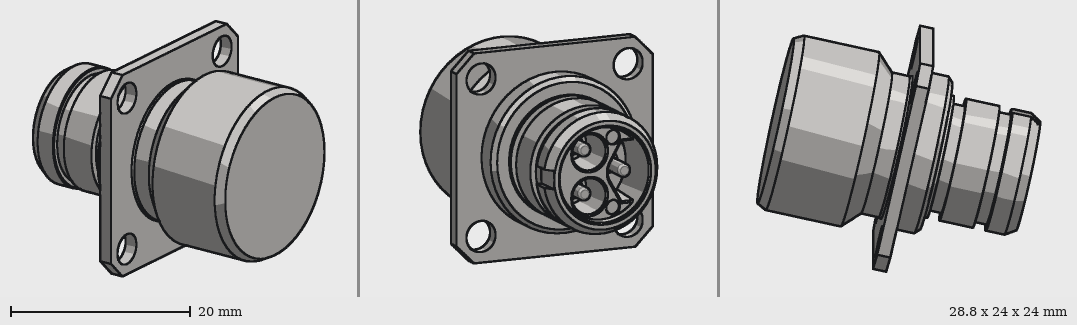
import cadquery as cq
import math

LENGTH = 28.8
NOSE_TIP_RADIUS = 6.2
NOSE_RADIUS = 6.95
NOSE_CHAMFER_END = 1.2
GROOVE_START = 3.4
GROOVE_RADIUS = 6.28
GROOVE_END = 4.8
GROOVE_EDGE_CHAMFER = 0.1
LAND_END = 8.6
RELIEF_RADIUS = 6.1
COLLAR_START = 10.0
COLLAR_RADIUS = 6.95
SHOULDER_START = 10.5
SHOULDER_RADIUS = 8.95
SHOULDER_CHAMFER = 0.55
FLANGE_START = 13.5
FLANGE_THICKNESS = 1.5
FLANGE_END = FLANGE_START + FLANGE_THICKNESS
NECK_RADIUS = 8.05
NECK_ROOT_CHAMFER = 0.1
NECK_ROOT_LENGTH = 0.3
NECK_END = 17.3
BACKSHELL_RADIUS = 9.95
BACKSHELL_START = 19.2
REAR_CHAMFER_LENGTH = 1.05
REAR_CHAMFER_DEPTH = 0.55

FLANGE_SIDE = 24.0
FLANGE_CORNER_CUT = 2.15
MOUNTING_HOLE_DIAMETER = 3.55
MOUNTING_HOLE_SPACING = 18.0

KEYWAY_WIDTH = 2.1
KEYWAY_FLOOR = 6.2

BORE_RADIUS = 5.45
BORE_MOUTH_CHAMFER = 0.2
FACE_DEPTH = 0.95
INSERT_RADIUS = 5.25
INSERT_GAP_EXTRA_DEPTH = 0.5

CONTACT_CIRCLE_RADIUS = 2.9
CAVITY_MOUTH_RADIUS = 2.25
CAVITY_LEAD_IN = 0.2
CAVITY_DRAFT = 0.2
CAVITY_DEPTH = 5.0
CAVITY_FLOOR = FACE_DEPTH + CAVITY_DEPTH
POWER_ANGLES = (60, -60)
EARTH_ANGLE = 180
EARTH_POCKET_HALF_WIDTH = 3.65
EARTH_POCKET_SLANT = 30

POWER_PIN_TIP = 2.2
EARTH_PIN_TIP = 1.1
PIN_TIP_RADIUS = 0.5
PIN_RADIUS = 0.77
PIN_TIP_FILLET = PIN_RADIUS - PIN_TIP_RADIUS
PIN_FLARE_LENGTH = 1.0
POWER_PIN_BASE_RADIUS = 1.15
EARTH_PIN_BASE_RADIUS = 1.35
POWER_PIN_CLEARANCE_RADIUS = 1.35
POWER_PIN_CLEARANCE_DEPTH = 0.5

LABEL_RADIUS = 0.83
LABEL_DEPTH = 0.25
POWER_LABEL_Y = -1.42
POWER_LABEL_Z = 4.0
EARTH_LABEL_Y = -3.36
EARTH_LABEL_Z = 2.43


def plane_at(x, y=0.0, z=0.0):
    """YZ work plane at station x, with its normal along +X."""
    return cq.Workplane("YZ", origin=(x, y, z))


def cylinder(x_start, x_end, radius, y=0.0, z=0.0):
    return plane_at(x_start, y, z).circle(radius).extrude(x_end - x_start)


def revolve_profile(profile, y=0.0, z=0.0):
    """Turn a closed (x, radius) outline about an axis along X through (y, z)."""
    outline = cq.Workplane("XY", origin=(0, y, z)).polyline(profile).close()
    return outline.revolve(360, (0, 0, 0), (1, 0, 0))


def contact_position(angle):
    """Y and Z of a contact, the angle being measured from +Y towards +Z."""
    turn = math.radians(angle)
    return CONTACT_CIRCLE_RADIUS * math.cos(turn), CONTACT_CIRCLE_RADIUS * math.sin(turn)


def make_shell():
    profile = [
        (0, 0),
        (0, NOSE_TIP_RADIUS),
        (NOSE_CHAMFER_END, NOSE_RADIUS),
        (GROOVE_START - GROOVE_EDGE_CHAMFER, NOSE_RADIUS),
        (GROOVE_START, NOSE_RADIUS - GROOVE_EDGE_CHAMFER),
        (GROOVE_START, GROOVE_RADIUS),
        (GROOVE_END, GROOVE_RADIUS),
        (GROOVE_END, NOSE_RADIUS),
        (LAND_END, NOSE_RADIUS),
        (LAND_END, RELIEF_RADIUS),
        (COLLAR_START, RELIEF_RADIUS),
        (COLLAR_START, COLLAR_RADIUS),
        (SHOULDER_START, COLLAR_RADIUS),
        (SHOULDER_START, SHOULDER_RADIUS - SHOULDER_CHAMFER),
        (SHOULDER_START + SHOULDER_CHAMFER, SHOULDER_RADIUS),
        (FLANGE_END, SHOULDER_RADIUS),
        (FLANGE_END, NECK_RADIUS + NECK_ROOT_CHAMFER),
        (FLANGE_END + NECK_ROOT_LENGTH, NECK_RADIUS),
        (NECK_END, NECK_RADIUS),
        (BACKSHELL_START, BACKSHELL_RADIUS),
        (LENGTH - REAR_CHAMFER_LENGTH, BACKSHELL_RADIUS),
        (LENGTH, BACKSHELL_RADIUS - REAR_CHAMFER_DEPTH),
        (LENGTH, 0),
    ]
    return revolve_profile(profile)


def make_flange():
    plate = plane_at(FLANGE_START).rect(FLANGE_SIDE, FLANGE_SIDE).extrude(FLANGE_THICKNESS)
    plate = plate.edges("|X").chamfer(FLANGE_CORNER_CUT)
    spacing = MOUNTING_HOLE_SPACING
    corners = plate.faces("<X").workplane(origin=(FLANGE_START, 0, 0))
    return corners.rect(spacing, spacing, forConstruction=True).vertices().hole(MOUNTING_HOLE_DIAMETER)


def make_keyway():
    """Flat-bottomed slot through the front land, open outwards and into the groove behind it."""
    slot_height = NOSE_RADIUS - KEYWAY_FLOOR
    slot = cq.Workplane("XY").box(GROOVE_START, slot_height, KEYWAY_WIDTH, centered=(False, False, True))
    return slot.translate((0, KEYWAY_FLOOR, 0))


def make_bore():
    """Open bore, its mouth chamfer and the narrow gap, with a sloping bottom, around the insert."""
    mouth_radius = BORE_RADIUS + BORE_MOUTH_CHAMFER
    gap_bottom = CAVITY_FLOOR + INSERT_GAP_EXTRA_DEPTH
    gap_width = BORE_RADIUS - INSERT_RADIUS
    return revolve_profile([
        (0, 0),
        (0, mouth_radius),
        (BORE_MOUTH_CHAMFER, BORE_RADIUS),
        (gap_bottom, BORE_RADIUS),
        (gap_bottom - gap_width, INSERT_RADIUS),
        (FACE_DEPTH, INSERT_RADIUS),
        (FACE_DEPTH, 0),
    ])


def power_cavity(y, z):
    throat_radius = CAVITY_MOUTH_RADIUS - CAVITY_LEAD_IN
    return revolve_profile([
        (FACE_DEPTH, 0),
        (FACE_DEPTH, CAVITY_MOUTH_RADIUS),
        (FACE_DEPTH + CAVITY_LEAD_IN, throat_radius),
        (CAVITY_FLOOR, throat_radius - CAVITY_DRAFT),
        (CAVITY_FLOOR, 0),
    ], y, z)


def earth_outline(x, inset):
    """Earth pocket outline: an arc about the earth pin, two tangent slants and two straight sides."""
    pin_y, pin_z = contact_position(EARTH_ANGLE)
    radius = CAVITY_MOUTH_RADIUS - inset
    half_width = EARTH_POCKET_HALF_WIDTH - inset
    slant = math.radians(EARTH_POCKET_SLANT)
    tangent_y = radius * math.cos(slant)
    tangent_z = radius * math.sin(slant)
    corner_y = (radius - half_width * math.sin(slant)) / math.cos(slant)
    outer_y = -BORE_RADIUS - pin_y
    return (
        plane_at(x, pin_y, pin_z)
        .moveTo(outer_y, -half_width)
        .lineTo(corner_y, -half_width)
        .lineTo(tangent_y, -tangent_z)
        .threePointArc((radius, 0), (tangent_y, tangent_z))
        .lineTo(corner_y, half_width)
        .lineTo(outer_y, half_width)
        .close()
    )


def earth_loft(x_start, inset_start, x_end, inset_end):
    start = earth_outline(x_start, inset_start).wire().val()
    end = earth_outline(x_end, inset_end).wire().val()
    return cq.Workplane(cq.Solid.makeLoft([start, end], True))


def earth_cavity():
    throat = FACE_DEPTH + CAVITY_LEAD_IN
    lead_in = earth_loft(FACE_DEPTH, 0, throat, CAVITY_LEAD_IN)
    draft = earth_loft(throat, CAVITY_LEAD_IN, CAVITY_FLOOR, CAVITY_LEAD_IN + CAVITY_DRAFT)
    return lead_in.union(draft).intersect(cylinder(0, CAVITY_FLOOR, BORE_RADIUS))


def make_contact_pin(y, z, tip_x, base_x, base_radius):
    pin = revolve_profile([
        (tip_x, 0),
        (tip_x, PIN_RADIUS),
        (base_x - PIN_FLARE_LENGTH, PIN_RADIUS),
        (base_x, base_radius),
        (base_x, 0),
    ], y, z)
    return pin.faces("<X").edges().fillet(PIN_TIP_FILLET)


def label_recess(x, y, z):
    return cylinder(x, x + LABEL_DEPTH, LABEL_RADIUS, y, z)


def make_connector():
    body = make_shell().union(make_flange())
    body = body.cut(make_keyway()).cut(make_bore()).cut(earth_cavity())
    power_base = CAVITY_FLOOR + POWER_PIN_CLEARANCE_DEPTH
    for angle in POWER_ANGLES:
        y, z = contact_position(angle)
        body = body.cut(power_cavity(y, z))
        body = body.cut(cylinder(CAVITY_FLOOR, power_base, POWER_PIN_CLEARANCE_RADIUS, y, z))
        body = body.union(make_contact_pin(y, z, POWER_PIN_TIP, power_base, POWER_PIN_BASE_RADIUS))
    for label_z in (POWER_LABEL_Z, -POWER_LABEL_Z):
        body = body.cut(label_recess(FACE_DEPTH, POWER_LABEL_Y, label_z))
    body = body.cut(label_recess(CAVITY_FLOOR, EARTH_LABEL_Y, EARTH_LABEL_Z))
    y, z = contact_position(EARTH_ANGLE)
    return body.union(make_contact_pin(y, z, EARTH_PIN_TIP, CAVITY_FLOOR, EARTH_PIN_BASE_RADIUS))


result = make_connector()